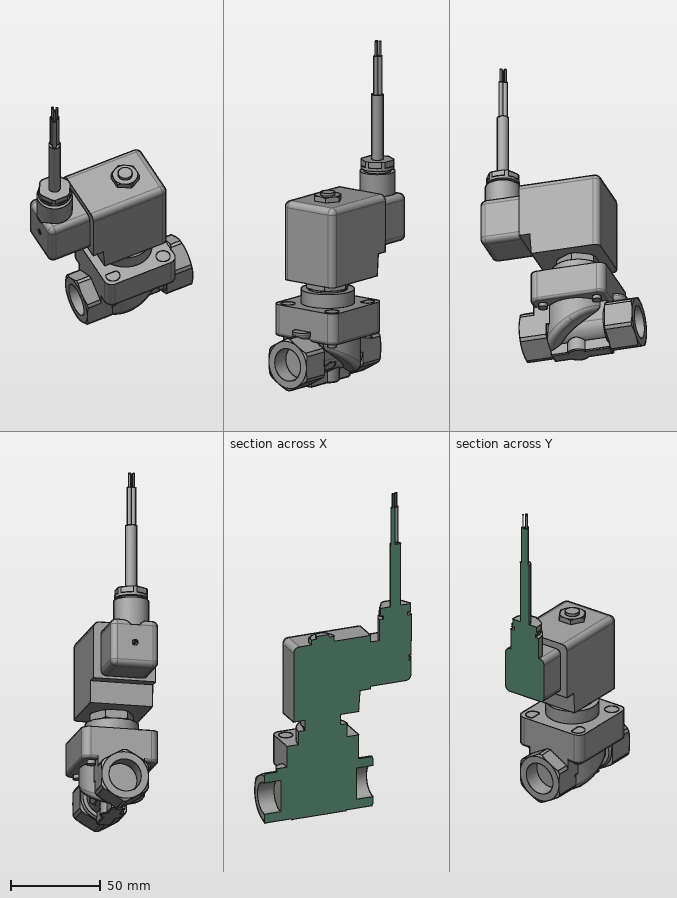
import cadquery as cq
import math


HEX_TURN = 30

PORT_AF = 27.0
PORT_DIA = 30.0
PORT_FACE_DIA = PORT_AF
PORT_BORE = 18.63
PORT_DEPTH = 10.0
PORT_BACK_Y = 35.8
PORT_FRONT_Y = -30.7
BACK_HEX_INNER_Y = 19.5
FRONT_HEX_INNER_Y = -14.8
PORT_CHAMFER = 0.6
PORT_SHOULDER_DIA = 26.0
PORT_NECK_DIA = 24.0
PORT_NECK_LENGTH = 1.3

CHANNEL_RADIUS = 9.75
BOWL_DIA = 37.0
BOWL_EDGE_BACK = (16.5, 7.2)
BOWL_EDGE_FRONT = (-15.5, -13.3)
BOWL_EDGE_R = 3.0
BODY_BOTTOM_Z = -15.5
RIB_WIDTH = 8.0
RIB_CHAMFER = 0.6
DRAIN_BOSS_DIA = 13.0
LUG_DIA = 11.0
LUG_Y = 22.7
LUG_TOP_Z = 17.0
LUG_BOTTOM_Z = 12.8
LUG_EDGE_R = 3.0

ARROW_TIP_Y = 15.2
ARROW_NECK_Y = 9.5
ARROW_TAIL_Y = 4.7
ARROW_Z = -4.3
ARROW_HALF_HEAD = 2.9
ARROW_HALF_SHAFT = 2.0
ARROW_RAISE = 0.3

BONNET_SIDE = 44.0
BONNET_BOTTOM_Z = 11.3
BONNET_TOP_Z = 29.5
BONNET_CORNER_R = 4.5
BONNET_EDGE_R = 1.5
SCREW_PITCH = 31.6
SCREW_HEAD_DIA = 8.0
SCREW_HEAD_RECESS = 0.2
SCREW_DIA = 5.0
SCREW_END_Z = 9.0
COLLAR_DIA = 30.0
COLLAR_TOP_Z = 37.4

NECK_DIA = 22.0
NECK_TOP_Z = 38.4
LOWER_NUT_AF = 22.0
NUT_CHAMFER = 0.5

COIL_WIDTH = 36.0
COIL_BACK_Y = 17.8
COIL_FRONT_Y = -29.2
COIL_STEP_TOP_Y = -22.9
COIL_STEP_BOTTOM_Y = -22.0
COIL_BOTTOM_Z = 43.3
COIL_STEP_Z = 55.8
COIL_TOP_Z = 88.5
COIL_EDGE_R = 3.5

UPPER_NUT_AF = 14.0
UPPER_NUT_TOP_Z = 91.5
STUD_DIA = 8.0
STUD_TOP_Z = 93.1

PLUG_WIDTH = 27.2
PLUG_FRONT_Y = -53.9
PLUG_BOTTOM_Z = 57.4
PLUG_TOP_Z = 84.5
PLUG_EDGE_R = 3.3
PLUG_SCREW_Z = 71.0
PLUG_SCREW_HOLE = 3.24
PLUG_SCREW_PIN = 1.2
PLUG_SCREW_DEPTH = 1.0

TOWER_DIA = 19.8
TOWER_FRONT_Y = -54.3
GLAND_Y = TOWER_FRONT_Y + TOWER_DIA / 2
TOWER_TOP_Z = 97.1
GLAND_NECK_DIA = 15.0
FLANGE_DIA = 18.5
FLANGE_BOTTOM_Z = 98.7
FLANGE_TOP_Z = 100.4
GLAND_AF = 17.0
GLAND_TOP_Z = 103.8
CABLE_DIA = 6.5
CABLE_TOP_Z = 141.1
CORE_DIA = 2.5
CORE_SPACING = 2.46
CORE_TOP_Z = 163.3
WIRE_DIA = 1.2
WIRE_TOP_Z = 171.6
CORE_COUNT = 3


def box(x_size, y_min, y_max, z_min, z_max):
    """Box centred on X, given by its Y and Z limits."""
    return (
        cq.Workplane("XY")
        .box(x_size, y_max - y_min, z_max - z_min, centered=(True, False, False))
        .translate((0, y_min, z_min))
    )


def rod(diameter, z_min, z_max, x=0.0, y=0.0):
    """Vertical cylinder."""
    return cq.Workplane("XY").circle(diameter / 2).extrude(z_max - z_min).translate((x, y, z_min))


def hexagon(across_flats, length):
    """Hexagonal prism along Z with corners on the X axis."""
    return cq.Workplane("XY").polygon(6, across_flats / math.cos(math.pi / 6)).extrude(length)


def chamfered_nut(across_flats, z_min, z_max, chamfer_selector):
    """Nut whose corners are turned off by a chamfered cylinder."""
    length = z_max - z_min
    corner_dia = across_flats / math.cos(math.pi / 6)
    turned = cq.Workplane("XY").circle(corner_dia / 2).extrude(length)
    turned = turned.faces(chamfer_selector).edges().chamfer(NUT_CHAMFER, 2 * NUT_CHAMFER)
    return hexagon(across_flats, length).intersect(turned).translate((0, 0, z_min))


def port(inner_y, outer_y):
    """Hexagonal port end with its corners up and down, turned to a cylinder and coned at its face."""
    length = abs(outer_y - inner_y)
    face_inset = (PORT_DIA - PORT_FACE_DIA) / 2
    half_profile = (
        cq.Workplane("XZ")
        .moveTo(0, 0)
        .lineTo(PORT_DIA / 2, 0)
        .lineTo(PORT_DIA / 2, length - PORT_CHAMFER)
        .lineTo(PORT_DIA / 2 - face_inset, length)
        .lineTo(0, length)
        .close()
    )
    turned = half_profile.revolve(360, (0, 0, 0), (0, 1, 0))
    blank = hexagon(PORT_AF, length).rotate((0, 0, 0), (0, 0, 1), HEX_TURN).intersect(turned)
    tilt = -90 if outer_y > inner_y else 90
    return blank.rotate((0, 0, 0), (1, 0, 0), tilt).translate((0, inner_y, 0))


def port_neck(inner_y, direction):
    """Conical shoulder easing the inner side of a port hexagon into the channel."""
    cone = cq.Solid.makeCone(
        PORT_SHOULDER_DIA / 2,
        PORT_NECK_DIA / 2,
        PORT_NECK_LENGTH,
        pnt=cq.Vector(0, inner_y, 0),
        dir=cq.Vector(0, direction, 0),
    )
    return cq.Workplane(cone)


def port_bore(face_y, direction):
    """Blind bore entering a port face along +Y or -Y."""
    plane = cq.Plane(origin=(0, face_y, 0), xDir=(1, 0, 0), normal=(0, direction, 0))
    return cq.Workplane(plane).circle(PORT_BORE / 2).extrude(PORT_DEPTH)


def channel(radius, y_min, y_max):
    """U-shaped flow channel: round below the port axis, straight-sided up to the bonnet."""
    round_part = cq.Workplane("XZ").circle(radius).extrude(y_max - y_min).translate((0, y_max, 0))
    return round_part.union(box(2 * radius, y_min, y_max, 0, BONNET_BOTTOM_Z))


def bowl():
    """Round seat housing under the bonnet, cut off by a slanting plane."""
    reach = BOWL_DIA
    slope = (BOWL_EDGE_FRONT[1] - BOWL_EDGE_BACK[1]) / (BOWL_EDGE_FRONT[0] - BOWL_EDGE_BACK[0])
    z_mid = BOWL_EDGE_BACK[1] - slope * BOWL_EDGE_BACK[0]
    below_slant = (
        cq.Workplane("YZ")
        .moveTo(reach, z_mid + slope * reach)
        .lineTo(-reach, z_mid - slope * reach)
        .lineTo(reach, z_mid - slope * reach)
        .close()
        .extrude(reach, both=True)
    )
    housing = rod(BOWL_DIA, z_mid - slope * reach, BONNET_BOTTOM_Z).cut(below_slant)
    housing = housing.edges("%ELLIPSE").fillet(BOWL_EDGE_R)
    return housing.cut(box(BOWL_DIA, -reach, FRONT_HEX_INNER_Y, 2 * BODY_BOTTOM_Z, BONNET_BOTTOM_Z))


def flow_arrow():
    """Arrow standing slightly proud of the channel, pointing to +Y."""
    outline = [
        (ARROW_TIP_Y, ARROW_Z),
        (ARROW_NECK_Y, ARROW_Z + ARROW_HALF_HEAD),
        (ARROW_NECK_Y, ARROW_Z + ARROW_HALF_SHAFT),
        (ARROW_TAIL_Y, ARROW_Z + ARROW_HALF_SHAFT),
        (ARROW_TAIL_Y, ARROW_Z - ARROW_HALF_SHAFT),
        (ARROW_NECK_Y, ARROW_Z - ARROW_HALF_SHAFT),
        (ARROW_NECK_Y, ARROW_Z - ARROW_HALF_HEAD),
    ]
    prism = cq.Workplane("YZ").polyline(outline).close().extrude(-BOWL_DIA / 2)
    return prism.intersect(channel(CHANNEL_RADIUS + ARROW_RAISE, ARROW_TAIL_Y, ARROW_TIP_Y))


def valve_body():
    """Two ports joined by the channel, the bowl, the block under the bonnet and the drain foot."""
    body = port(BACK_HEX_INNER_Y, PORT_BACK_Y).union(port(FRONT_HEX_INNER_Y, PORT_FRONT_Y))
    body = body.union(channel(CHANNEL_RADIUS, FRONT_HEX_INNER_Y, BACK_HEX_INNER_Y))
    body = body.union(port_neck(BACK_HEX_INNER_Y, -1)).union(port_neck(FRONT_HEX_INNER_Y, 1))
    body = body.union(flow_arrow())
    body = body.union(bowl())
    front_block = box(PORT_AF, -BONNET_SIDE / 2, 0, 0, BONNET_TOP_Z)
    body = body.union(front_block)
    rib = box(RIB_WIDTH, FRONT_HEX_INNER_Y, BACK_HEX_INNER_Y, BODY_BOTTOM_Z, 0)
    boss = rod(DRAIN_BOSS_DIA, BODY_BOTTOM_Z, 0)
    foot = rib.union(boss).faces("<Z").edges().chamfer(RIB_CHAMFER)
    body = body.union(foot)
    lug = rod(LUG_DIA, LUG_BOTTOM_Z, LUG_TOP_Z, y=LUG_Y).faces("<Z").edges().fillet(LUG_EDGE_R)
    body = body.union(lug)
    return body.cut(port_bore(PORT_BACK_Y, -1)).cut(port_bore(PORT_FRONT_Y, 1))


def bonnet():
    """Square bonnet with its four screws, collar and hexagon nut."""
    half = BONNET_SIDE / 2
    block = box(BONNET_SIDE, -half, half, BONNET_BOTTOM_Z, BONNET_TOP_Z)
    block = block.edges("|Z").fillet(BONNET_CORNER_R).faces("<Z").edges().fillet(BONNET_EDGE_R)
    for x in (-SCREW_PITCH / 2, SCREW_PITCH / 2):
        for y in (-SCREW_PITCH / 2, SCREW_PITCH / 2):
            block = block.union(rod(SCREW_DIA, SCREW_END_Z, BONNET_BOTTOM_Z + BONNET_EDGE_R, x, y))
            block = block.cut(rod(SCREW_HEAD_DIA, BONNET_TOP_Z - SCREW_HEAD_RECESS, BONNET_TOP_Z, x, y))
    block = block.union(rod(COLLAR_DIA, BONNET_TOP_Z, COLLAR_TOP_Z))
    block = block.union(rod(NECK_DIA, COLLAR_TOP_Z, NECK_TOP_Z))
    return block.union(chamfered_nut(LOWER_NUT_AF, NECK_TOP_Z, COIL_BOTTOM_Z, "<Z or >Z"))


def coil():
    """Coil housing, stepped below the plug, with the nut and stud on top."""
    outline = [
        (COIL_BACK_Y, COIL_BOTTOM_Z),
        (COIL_BACK_Y, COIL_TOP_Z),
        (COIL_FRONT_Y, COIL_TOP_Z),
        (COIL_FRONT_Y, COIL_STEP_Z),
        (COIL_STEP_TOP_Y, COIL_STEP_Z),
        (COIL_STEP_BOTTOM_Y, COIL_BOTTOM_Z),
    ]
    block = cq.Workplane("YZ").polyline(outline).close().extrude(COIL_WIDTH / 2, both=True)
    block = block.edges("(|Z and >Y) or (>Z and (not <Y))").fillet(COIL_EDGE_R)
    block = block.union(chamfered_nut(UPPER_NUT_AF, COIL_TOP_Z, UPPER_NUT_TOP_Z, ">Z"))
    return block.union(rod(STUD_DIA, UPPER_NUT_TOP_Z, STUD_TOP_Z))


def plug():
    """Connector block on the coil front with its screw recess and gland tower."""
    block = box(PLUG_WIDTH, PLUG_FRONT_Y, COIL_FRONT_Y, PLUG_BOTTOM_Z, PLUG_TOP_Z)
    block = block.edges("|Y or <Y").fillet(PLUG_EDGE_R)
    screw_hole = (
        cq.Workplane("XZ", origin=(0, PLUG_FRONT_Y, PLUG_SCREW_Z))
        .circle(PLUG_SCREW_HOLE / 2)
        .circle(PLUG_SCREW_PIN / 2)
        .extrude(-PLUG_SCREW_DEPTH)
    )
    block = block.cut(screw_hole)
    return block.union(rod(TOWER_DIA, PLUG_TOP_Z - PLUG_EDGE_R, TOWER_TOP_Z, y=GLAND_Y))


def gland_and_cable():
    """Cable gland and a cable stripped to three cores and their wires."""
    gland = rod(GLAND_NECK_DIA, TOWER_TOP_Z, FLANGE_BOTTOM_Z)
    gland = gland.union(rod(FLANGE_DIA, FLANGE_BOTTOM_Z, FLANGE_TOP_Z))
    cap_height = GLAND_TOP_Z - FLANGE_TOP_Z
    cap = hexagon(GLAND_AF, cap_height).rotate((0, 0, 0), (0, 0, 1), HEX_TURN).translate((0, 0, FLANGE_TOP_Z))
    gland = gland.union(cap.intersect(rod(FLANGE_DIA, FLANGE_TOP_Z, GLAND_TOP_Z)))
    gland = gland.union(rod(CABLE_DIA, GLAND_TOP_Z, CABLE_TOP_Z))
    core_radius = CORE_SPACING / math.sqrt(3)
    for index in range(CORE_COUNT):
        angle = math.pi / 2 + index * 2 * math.pi / CORE_COUNT
        x = core_radius * math.cos(angle)
        y = core_radius * math.sin(angle)
        gland = gland.union(rod(CORE_DIA, CABLE_TOP_Z, CORE_TOP_Z, x, y))
        gland = gland.union(rod(WIRE_DIA, CORE_TOP_Z, WIRE_TOP_Z, x, y))
    return gland.translate((0, GLAND_Y, 0))


valve = valve_body().union(bonnet()).union(coil()).union(plug()).union(gland_and_cable())
result = cq.Workplane(valve.solids().val())